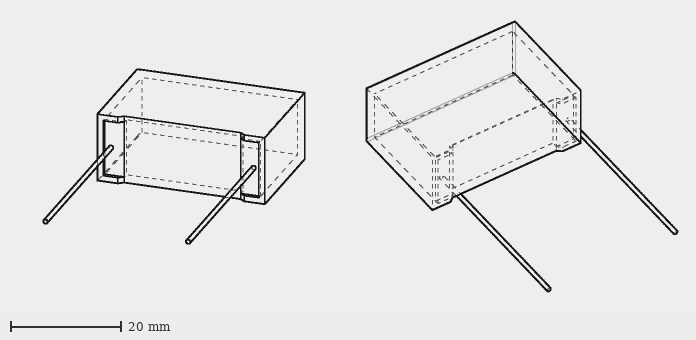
import cadquery as cq

case_width = 32.3
case_depth = 22.1
case_height = 13.2
total_length = 57.1

wall = 1.15
relief_depth = 0.75
foot_width = 4.0
relief_slope_width = 0.9
opening_width = 3.75
back_fillet_radius = 0.4

lead_diameter = 0.85
lead_spacing = 27.5
lead_length = total_length - case_depth + relief_depth

half_width = case_width / 2
cavity_width = case_width - 2 * wall
cavity_height = case_height - 2 * wall
bridge_width = cavity_width - 2 * opening_width
core_depth = case_depth - relief_depth - wall


def box_from(width, depth, height, start_y):
    """Box centred in X and Z that runs from start_y towards +Y."""
    return cq.Workplane("XY").box(width, depth, height).translate((0, start_y + depth / 2, 0))


def make_core():
    """Filling of the case, exposed on both sides of the bridge."""
    block = box_from(cavity_width, core_depth, cavity_height, relief_depth)
    bridge_space = box_from(bridge_width, wall, cavity_height, relief_depth)
    return block.cut(bridge_space)


def make_case(core):
    """Box with rounded back edges and a stepped front, hollowed for the core and for the open pockets."""
    shell = box_from(case_width, case_depth, case_height, 0)
    shell = shell.faces(">Y").fillet(back_fillet_radius)

    foot_inner_x = half_width - foot_width
    relief_inner_x = foot_inner_x - relief_slope_width
    relief = (
        cq.Workplane("XY")
        .polyline([
            (-foot_inner_x, 0),
            (-relief_inner_x, relief_depth),
            (relief_inner_x, relief_depth),
            (foot_inner_x, 0),
        ])
        .close()
        .extrude(case_height / 2, both=True)
    )
    pockets = box_from(cavity_width, relief_depth, cavity_height, 0)
    return shell.cut(relief).cut(pockets).cut(core)


def make_lead(x):
    """Straight round wire standing on the exposed face of the core."""
    return (
        cq.Workplane("XZ", origin=(x, relief_depth, 0))
        .circle(lead_diameter / 2)
        .extrude(lead_length)
    )


core = make_core()
case = make_case(core)
leads = [make_lead(side * lead_spacing / 2) for side in (-1, 1)]

result = cq.Compound.makeCompound([case.val(), core.val(), *[lead.val() for lead in leads]])